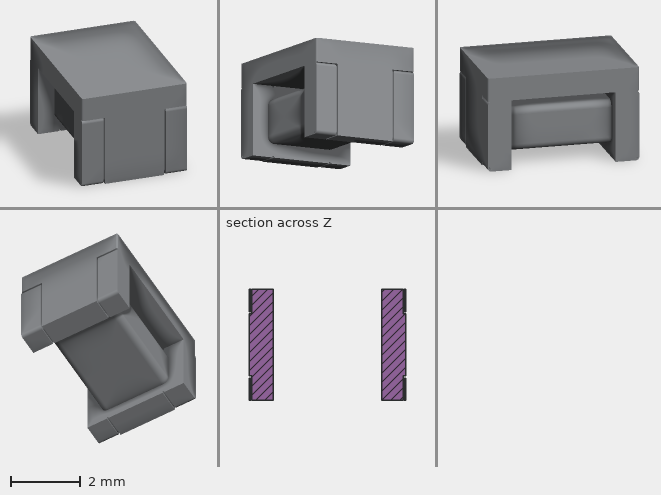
import cadquery as cq

LENGTH = 4.5
WIDTH = 3.2
HEIGHT = 2.8

PLATE_THICKNESS = 0.7
PLATE_CORNER_RADIUS = 0.05

WALL_THICKNESS = 0.7
TAB_WIDTH = 1.8
LEG_BOTTOM_RADIUS = 0.1

CLIP_THICKNESS = 0.05
CLIP_TAB_GAP = 0.05
CLIP_INNER_RADIUS = 0.05

BAR_WIDTH = 2.2
BAR_HEIGHT = 1.3
BAR_BOTTOM = 0.4
BAR_EDGE_RADIUS = 0.2

plate_bottom = HEIGHT - PLATE_THICKNESS
clip_inner_y = TAB_WIDTH / 2 + CLIP_TAB_GAP
clip_width = WIDTH / 2 - clip_inner_y
clip_outer_radius = CLIP_INNER_RADIUS + CLIP_THICKNESS
leg_thickness = WALL_THICKNESS - CLIP_THICKNESS
leg_height = plate_bottom - 2 * CLIP_THICKNESS


def box_from(x, y, z, size_x, size_y, size_z):
    """Box with its lowest corner at (x, y, z)."""
    return cq.Workplane("XY").box(size_x, size_y, size_z, centered=False).translate((x, y, z))


def make_plate():
    plate = box_from(-LENGTH / 2, -WIDTH / 2, plate_bottom, LENGTH, WIDTH, PLATE_THICKNESS)
    return plate.edges("|Z").fillet(PLATE_CORNER_RADIUS)


def make_tab():
    """Centre tab of the -X end wall."""
    return box_from(-LENGTH / 2, -TAB_WIDTH / 2, 0, WALL_THICKNESS, TAB_WIDTH, plate_bottom)


def make_legs():
    """Both legs of the -X end wall as one block running through the tab."""
    block = box_from(
        -LENGTH / 2 + CLIP_THICKNESS, -WIDTH / 2, CLIP_THICKNESS, leg_thickness, WIDTH, leg_height
    )
    return block.edges("<X and <Z").fillet(LEG_BOTTOM_RADIUS)


def make_clip(start_y):
    """C-shaped clip, open towards the middle of the part, on a leg of the -X end wall."""
    outer = box_from(-LENGTH / 2, start_y, 0, WALL_THICKNESS, clip_width, plate_bottom)
    outer = outer.edges("|Y and <X").fillet(clip_outer_radius)
    inner = box_from(
        -LENGTH / 2 + CLIP_THICKNESS, start_y, CLIP_THICKNESS, leg_thickness, clip_width, leg_height
    )
    inner = inner.edges("|Y and <X").fillet(CLIP_INNER_RADIUS)
    return outer.cut(inner)


def make_end_wall():
    wall = make_tab().union(make_legs())
    for start_y in (-WIDTH / 2, clip_inner_y):
        wall = wall.union(make_clip(start_y))
    return wall


def make_bar():
    bar_length = LENGTH - 2 * WALL_THICKNESS
    bar = box_from(-bar_length / 2, -BAR_WIDTH / 2, BAR_BOTTOM, bar_length, BAR_WIDTH, BAR_HEIGHT)
    return bar.edges("|X").fillet(BAR_EDGE_RADIUS)


end_wall = make_end_wall()
result = make_plate().union(end_wall).union(end_wall.mirror("YZ")).union(make_bar())